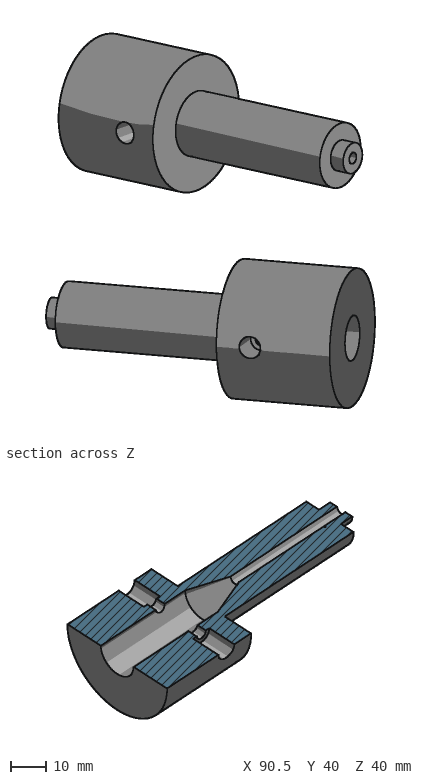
import cadquery as cq
import math

total_length = 90.5
head_length = 34.0
tip_length = 4.5
head_diameter = 40.0
shank_diameter = 19.0
tip_diameter = 9.0

bore_diameter = 13.0
bore_depth = head_length
bore_tip_angle = 40.0
end_hole_diameter = 3.3

cross_hole_x = 24.0
cross_hole_diameter = 3.5
counterbore_diameter = 6.3
counterbore_depth = 10.0

shank_end = total_length - tip_length


def make_body():
    """Head, shank and tip as stacked coaxial cylinders."""
    head = cq.Workplane("YZ").circle(head_diameter / 2).extrude(head_length)
    shank = cq.Workplane("YZ").circle(shank_diameter / 2).extrude(shank_end)
    tip = cq.Workplane("YZ").circle(tip_diameter / 2).extrude(total_length)
    return head.union(shank).union(tip)


def make_bore():
    """Cylindrical pocket with a conical bottom that leads into a small through hole."""
    mouth_radius = bore_diameter / 2
    end_radius = end_hole_diameter / 2
    cone_length = (mouth_radius - end_radius) / math.tan(math.radians(bore_tip_angle / 2))
    half_profile = [
        (0, 0),
        (0, mouth_radius),
        (bore_depth, mouth_radius),
        (bore_depth + cone_length, end_radius),
        (total_length, end_radius),
        (total_length, 0),
    ]
    return cq.Workplane("XY").polyline(half_profile).close().revolve(360, (0, 0, 0), (1, 0, 0))


def cylinder_along_y(diameter, y_start, y_end):
    """Cylinder on the cross hole axis, spanning y_start to y_end."""
    start = cq.Vector(cross_hole_x, y_start, 0)
    solid = cq.Solid.makeCylinder(diameter / 2, y_end - y_start, start, cq.Vector(0, 1, 0))
    return cq.Workplane(solid)


def make_cross_hole():
    """Through hole with a flat-bottomed counterbore on each side."""
    head_radius = head_diameter / 2
    floor_y = head_radius - counterbore_depth
    through = cylinder_along_y(cross_hole_diameter, -head_radius, head_radius)
    front = cylinder_along_y(counterbore_diameter, -head_radius, -floor_y)
    back = cylinder_along_y(counterbore_diameter, floor_y, head_radius)
    return through.union(front).union(back)


result = make_body().cut(make_bore()).cut(make_cross_hole())